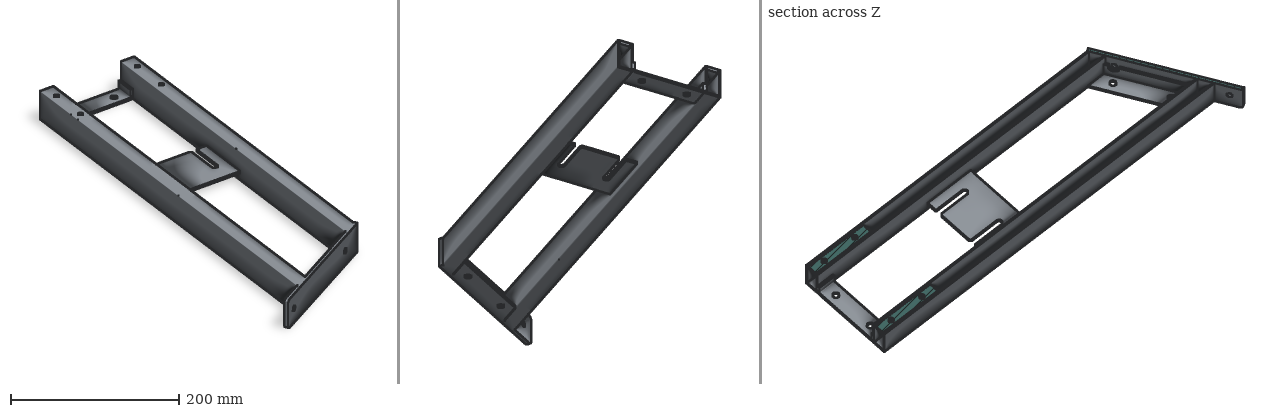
import cadquery as cq
import math

FRAME_WIDTH = 137.0
FRAME_HEIGHT = 40.0
TUBE_WIDTH = 20.0
TUBE_WALL = 2.0
TUBE_CORNER_RADIUS = 1.0
GAP_START = TUBE_WIDTH
GAP_END = FRAME_WIDTH - TUBE_WIDTH
GAP_WIDTH = GAP_END - GAP_START
MID_Y = FRAME_WIDTH / 2

SHEET_THICKNESS = 3.0

STRIP_GAP = 1.0
STRIP_THICKNESS = 3.0
STRIP_LENGTH = 90.0
TUBE_HOLE_DIAMETER = 6.0
TUBE_HOLE_X = (20.0, 70.0)

PLATE_ANGLE = 60.0
PLATE_LENGTH = 194.39
PLATE_THICKNESS = 5.0
PLATE_CORNER_RADIUS = 5.0
PLATE_OVERHANG = 0.35
PLATE_HOLE_DIAMETER = 7.0
PLATE_TIP_HOLE_OFFSET = 17.0
PLATE_TOP_HOLE_OFFSET = 34.0
FRAME_LENGTH = 557.15

ANGLE_WIDTH = 25.0
ANGLE_LEG_HEIGHT = 22.0
ANGLE_NOTCH_DIAMETER = 14.0
ANGLE_HOLE_DIAMETER = 8.0
ANGLE_HOLE_SPACING = 72.0
ANGLE_HOLE_INSET = 12.5

CROSSBAR_WIDTH = 25.0
CROSSBAR_TAB_HEIGHT = 14.0
CROSSBAR_BEND_RADIUS = 1.0
CROSSBAR_HOLE_DIAMETER = 8.0
CROSSBAR_HOLE_SPACING = 60.0

SHELF_START = 178.5
SHELF_WIDTH = 70.0
SHELF_TOP = 13.0
SLOT_WIDTH = 8.0
SLOT_LENGTH = 47.0
SLOT_SPACING = 60.0
TONGUE_CORNER_RADIUS = 3.0

ALONG_X = math.cos(math.radians(PLATE_ANGLE))
ALONG_Y = -math.sin(math.radians(PLATE_ANGLE))
PLATE_TOP_Y = FRAME_WIDTH + PLATE_OVERHANG
PLATE_TOP_X = FRAME_LENGTH - PLATE_LENGTH * ALONG_X + PLATE_THICKNESS * ALONG_Y


def box(x, y, z, length, width, height):
    """Block with its lowest corner at (x, y, z)."""
    return cq.Workplane("XY").box(length, width, height, centered=False).translate((x, y, z))


def hole(x, y, z, depth, diameter):
    """Vertical drill starting at height z."""
    return cq.Workplane("XY", origin=(x, y, z)).circle(diameter / 2).extrude(depth)


def on_plate(shape):
    """Move a shape from plate coordinates to the frame."""
    return shape.rotate((0, 0, 0), (0, 0, 1), -PLATE_ANGLE).translate((PLATE_TOP_X, PLATE_TOP_Y, 0))


def plate_drill(along, diameter, start, depth):
    """Drill running outward along plate Y, at mid height, in plate coordinates."""
    drill = cq.Workplane("XY").circle(diameter / 2).extrude(depth)
    return drill.rotate((0, 0, 0), (1, 0, 0), -90).translate((along, start, FRAME_HEIGHT / 2))


def tube(y):
    """Tube with its drilled strip, still running past the plate."""
    strip_inset = TUBE_WALL + STRIP_GAP
    strip_z = FRAME_HEIGHT - TUBE_WALL - STRIP_THICKNESS
    body = box(0, y, 0, FRAME_LENGTH, TUBE_WIDTH, FRAME_HEIGHT)
    body = body.edges("|X").fillet(TUBE_CORNER_RADIUS)
    bore = box(
        0, y + TUBE_WALL, TUBE_WALL,
        FRAME_LENGTH, TUBE_WIDTH - 2 * TUBE_WALL, FRAME_HEIGHT - 2 * TUBE_WALL,
    )
    strip = box(0, y + strip_inset, strip_z, STRIP_LENGTH, TUBE_WIDTH - 2 * strip_inset, STRIP_THICKNESS)
    body = body.cut(bore).union(strip)
    for x in TUBE_HOLE_X:
        depth = FRAME_HEIGHT - strip_z
        body = body.cut(hole(x, y + TUBE_WIDTH / 2, strip_z, depth, TUBE_HOLE_DIAMETER))
    return body


def end_plate():
    """Slanted plate, rounded at its free end, with two cross holes."""
    plate = box(0, 0, 0, PLATE_LENGTH, PLATE_THICKNESS, FRAME_HEIGHT)
    plate = plate.edges("|Y and >X").fillet(PLATE_CORNER_RADIUS)
    for along in (PLATE_TOP_HOLE_OFFSET, PLATE_LENGTH - PLATE_TIP_HOLE_OFFSET):
        plate = plate.cut(plate_drill(along, PLATE_HOLE_DIAMETER, 0, PLATE_THICKNESS))
    return on_plate(plate)


def end_angle():
    """L-section against the plate, trimmed to the gap between the tubes."""
    flange = box(0, -ANGLE_WIDTH, 0, PLATE_LENGTH, ANGLE_WIDTH, SHEET_THICKNESS)
    leg = box(0, -SHEET_THICKNESS, 0, PLATE_LENGTH, SHEET_THICKNESS, ANGLE_LEG_HEIGHT)
    angle = flange.union(leg)
    angle = angle.cut(
        plate_drill(PLATE_TOP_HOLE_OFFSET, ANGLE_NOTCH_DIAMETER, -SHEET_THICKNESS, SHEET_THICKNESS)
    )
    mid_along = (MID_Y - PLATE_TOP_Y + ANGLE_HOLE_INSET * ALONG_X) / ALONG_Y
    for side in (-1, 1):
        along = mid_along + side * ANGLE_HOLE_SPACING / 2
        angle = angle.cut(hole(along, -ANGLE_HOLE_INSET, 0, SHEET_THICKNESS, ANGLE_HOLE_DIAMETER))
    gap = box(0, GAP_START, 0, FRAME_LENGTH, GAP_WIDTH, FRAME_HEIGHT)
    return on_plate(angle).intersect(gap)


def crossbar():
    """U-shaped strip with upturned tabs against the tubes."""
    inner_width = GAP_WIDTH - 2 * SHEET_THICKNESS
    bar = box(0, GAP_START, 0, CROSSBAR_WIDTH, GAP_WIDTH, CROSSBAR_TAB_HEIGHT)
    bar = bar.edges("|X and <Z").fillet(CROSSBAR_BEND_RADIUS + SHEET_THICKNESS)
    recess = box(
        0, GAP_START + SHEET_THICKNESS, SHEET_THICKNESS,
        CROSSBAR_WIDTH, inner_width, CROSSBAR_TAB_HEIGHT,
    )
    recess = recess.edges("|X and <Z").fillet(CROSSBAR_BEND_RADIUS)
    bar = bar.cut(recess)
    for side in (-1, 1):
        y = MID_Y + side * CROSSBAR_HOLE_SPACING / 2
        bar = bar.cut(hole(CROSSBAR_WIDTH / 2, y, 0, SHEET_THICKNESS, CROSSBAR_HOLE_DIAMETER))
    return bar


def shelf():
    """Flat plate spanning the gap, with two round-ended slots open toward the crossbar."""
    shelf_z = SHELF_TOP - SHEET_THICKNESS
    plate = box(SHELF_START, GAP_START, shelf_z, SHELF_WIDTH, GAP_WIDTH, SHEET_THICKNESS)
    straight = SLOT_LENGTH - SLOT_WIDTH / 2
    for side in (-1, 1):
        y = MID_Y + side * SLOT_SPACING / 2
        slot = box(SHELF_START, y - SLOT_WIDTH / 2, shelf_z, straight, SLOT_WIDTH, SHEET_THICKNESS)
        slot_end = hole(SHELF_START + straight, y, shelf_z, SHEET_THICKNESS, SLOT_WIDTH)
        plate = plate.cut(slot).cut(slot_end)
    tongue_half = (SLOT_SPACING - SLOT_WIDTH) / 2
    for side in (-1, 1):
        corner = cq.selectors.NearestToPointSelector(
            (SHELF_START, MID_Y + side * tongue_half, SHELF_TOP - SHEET_THICKNESS / 2)
        )
        plate = plate.edges("|Z").edges(corner).fillet(TONGUE_CORNER_RADIUS)
    return plate


def beyond_plate():
    """Block covering everything outside the plate's inner face, used for the mitre."""
    return on_plate(box(-PLATE_LENGTH, 0, 0, 3 * PLATE_LENGTH, PLATE_LENGTH, FRAME_HEIGHT))


result = tube(0).union(tube(GAP_END)).cut(beyond_plate())
for member in (end_plate(), end_angle(), crossbar(), shelf()):
    result = result.union(member)